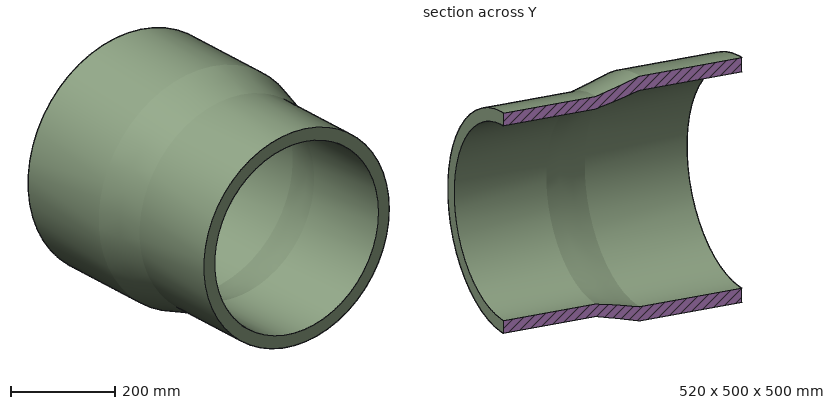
import cadquery as cq

length = 520.0
flare_start = 223.0
flare_end = 319.0

large_outer_diameter = 500.0
large_inner_diameter = 440.5
small_outer_diameter = 450.0
small_inner_diameter = 397.0


def stepped_body(large_diameter, small_diameter):
    """Solid of revolution about X: two cylinders joined by a conical flare."""
    large_radius = large_diameter / 2
    small_radius = small_diameter / 2
    return (
        cq.Workplane("XY")
        .moveTo(0, 0)
        .lineTo(length, 0)
        .lineTo(length, small_radius)
        .lineTo(flare_end, small_radius)
        .lineTo(flare_start, large_radius)
        .lineTo(0, large_radius)
        .close()
        .revolve(360, (0, 0, 0), (1, 0, 0))
    )


outside = stepped_body(large_outer_diameter, small_outer_diameter)
bore = stepped_body(large_inner_diameter, small_inner_diameter)
result = outside.cut(bore)